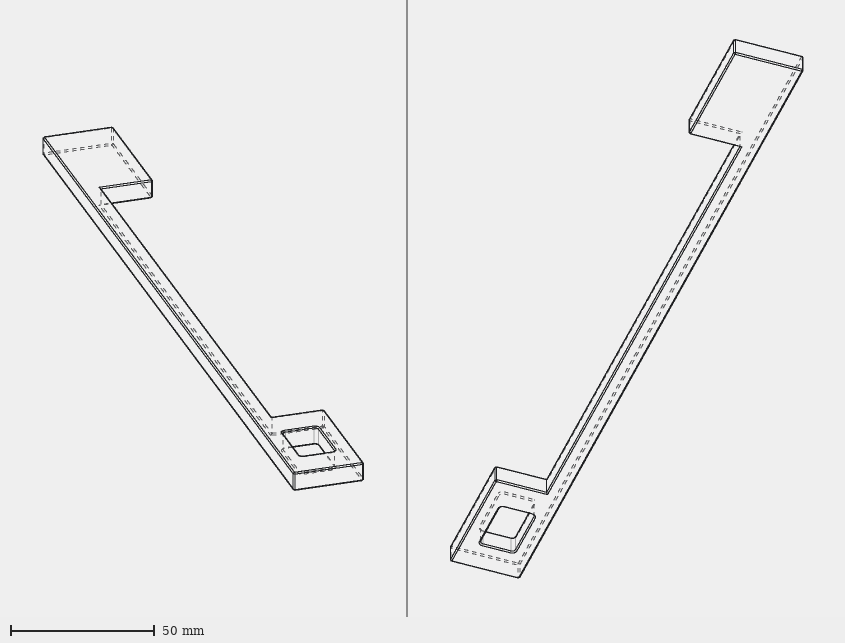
import cadquery as cq
length = 281.0
width = 26.0
thickness = 7.0

pad_length = 45.0
bar_width = 6.7
right_pad_start = length - pad_length

window_length = 20.5
window_width = 13.0
window_corner_radius = 2.5 / 2

edge_bevel = 0.5

tolerance = 0.03


def is_outside_corner(edge):
    """Upright edges of the plate, leaving out the two inner corners at the bar."""
    return abs(edge.Center().y - bar_width) > tolerance


def make_plate():
    """Flat plate with a pad at each end and bevelled upright corners."""
    plate = (
        cq.Workplane("XY")
        .lineTo(length, 0)
        .lineTo(length, width)
        .lineTo(right_pad_start, width)
        .lineTo(right_pad_start, bar_width)
        .lineTo(pad_length, bar_width)
        .lineTo(pad_length, width)
        .lineTo(0, width)
        .close()
        .extrude(thickness)
    )
    return plate.edges("|Z").filter(is_outside_corner).chamfer(edge_bevel)


def make_window():
    """Rounded rectangular cutter centred on the right-hand pad."""
    return (
        cq.Workplane("XY")
        .center(length - pad_length / 2, width / 2)
        .rect(window_length, window_width)
        .extrude(thickness)
        .edges("|Z")
        .fillet(window_corner_radius)
    )


plate_with_window = make_plate().cut(make_window())
result = plate_with_window.faces("|Z").edges().chamfer(edge_bevel)